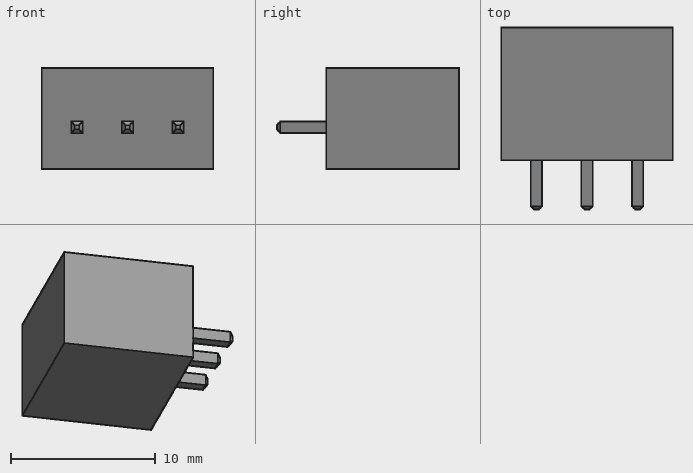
import cadquery as cq

body_width = 11.9
body_height = 7.0
overall_length = 12.6
pin_length = 3.4
body_length = overall_length - pin_length

pin_count = 3
pin_pitch = 3.5
pin_side = 0.81
pin_axis_height = 2.9
tip_length = 0.24
tip_inset = 0.25


def make_housing():
    """Plain block with its pin face on Y = 0 and its base on Z = 0."""
    return cq.Workplane("XY").box(
        body_width, body_length, body_height, centered=(True, False, False)
    )


def make_pin(x):
    """Square pin pointing along -Y from the pin face, ending in a flat-topped pyramid."""
    return (
        cq.Workplane("XZ")
        .center(x, pin_axis_height)
        .rect(pin_side, pin_side)
        .extrude(pin_length)
        .faces("<Y")
        .chamfer(tip_length, tip_inset)
    )


result = make_housing()
for index in range(pin_count):
    pin_x = (index - (pin_count - 1) / 2) * pin_pitch
    result = result.union(make_pin(pin_x))